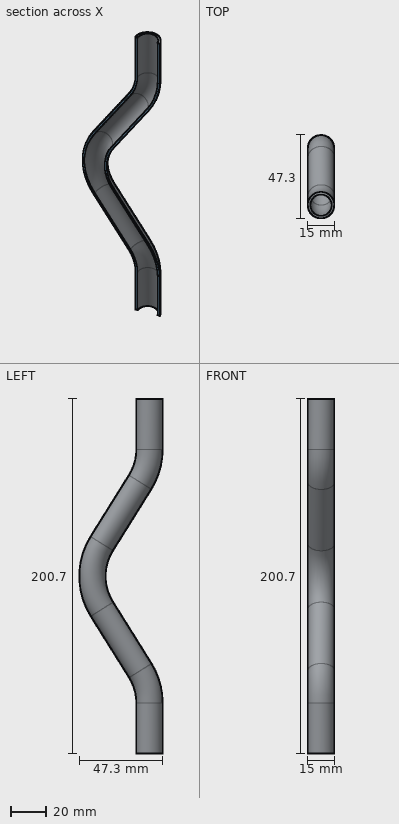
import cadquery as cq
import math

total_height = 200.7
outer_diameter = 15.0
wall_thickness = 1.5
lateral_offset = 32.3
bend_radius = 35.0
bend_angle = math.radians(32)

bend_rise = bend_radius * math.sin(bend_angle)
bend_shift = bend_radius * (1 - math.cos(bend_angle))
half_bend_rise = bend_radius * math.sin(bend_angle / 2)
half_bend_shift = bend_radius * (1 - math.cos(bend_angle / 2))
slope_shift = lateral_offset - 2 * bend_shift
slope_rise = slope_shift / math.tan(bend_angle)
middle_height = total_height / 2
leg_length = middle_height - 2 * bend_rise - slope_rise


def mirrored(point):
    """Reflect a (Y, Z) centreline point about the middle height."""
    y, z = point
    return (y, total_height - z)


leg_end = (0, leg_length)
end_bend_middle = (half_bend_shift, leg_length + half_bend_rise)
slope_start = (bend_shift, leg_length + bend_rise)
slope_end = (lateral_offset - bend_shift, middle_height - bend_rise)
crest = (lateral_offset, middle_height)

centreline = (
    cq.Workplane("YZ")
    .moveTo(0, 0)
    .lineTo(*leg_end)
    .threePointArc(end_bend_middle, slope_start)
    .lineTo(*slope_end)
    .threePointArc(crest, mirrored(slope_end))
    .lineTo(*mirrored(slope_start))
    .threePointArc(mirrored(end_bend_middle), mirrored(leg_end))
    .lineTo(0, total_height)
)

outer_radius = outer_diameter / 2
inner_radius = outer_radius - wall_thickness
result = cq.Workplane("XY").circle(outer_radius).circle(inner_radius).sweep(centreline)